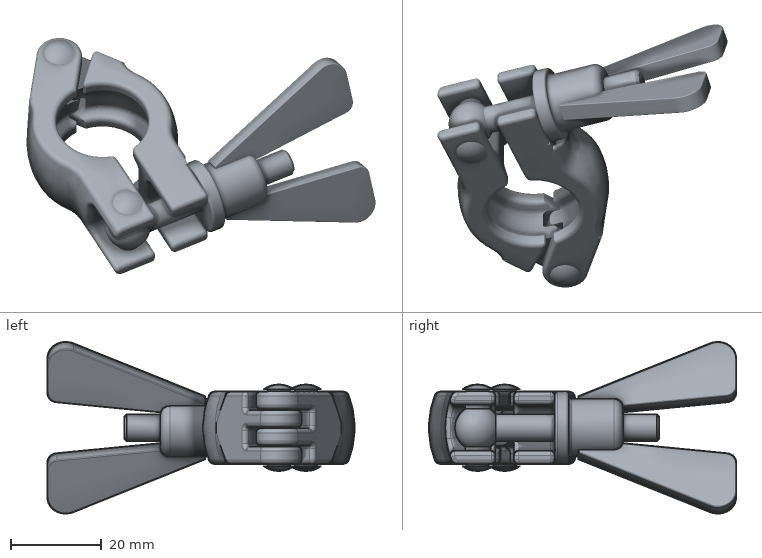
import cadquery as cq
import math


half_thickness = 8.0
thickness = 2 * half_thickness

crest_radius = 16.7
ear_crest_y = 13.1
ear_inner_y = 2.0
ear_start_x = 12.45
ear_end_x = 29.8
crown_radius = 19.6
crown_edge_round = 1.5
edge_round = 1.0
end_round = 0.95

lip_radius = 10.15
groove_radius = 13.0
groove_half_height = 4.05
lip_inner_z = 4.8
groove_round = 1.0

hinge_x = -20.65
knuckle_radius = 5.0
knuckle_count = 4
knuckle_gap = 0.3
knuckle_round = 0.95
slot_wall_distance = 7.0
slot_wall_angle = 48.7
slot_corner_round = 0.7
arm_inner_reach = 9.7
arm_inner_y = 6.8
arm_end_x = -12.3

rivet_neck_radius = 2.5
rivet_head_radius = 3.3
rivet_head_base_z = 8.5
rivet_head_top_z = 9.55

bolt_x = 23.8
bolt_pin_y = -5.95
bolt_radius = 3.0
bolt_end_y = 34.1
bolt_chamfer = 0.6
ball_radius = 5.0
ball_collar_radius = 2.8
fork_start_x = 17.3
fork_half_width = 5.1
fork_corner_round = 2.85

seat_y = 11.05
seat_radius = 8.95
seat_round = 0.7
nut_flange_radius = 8.05
nut_flange_top_y = 14.15
nut_flange_round = 0.55
hub_radius = 6.45
hub_top_y = 26.1
hub_overlap = 0.7
hub_round = 2.0
wing_angle = 25.0
wing_thickness = 3.7
wing_tip_y = 51.0
wing_base_y = 16.2
wing_outer_base = 6.85
wing_outer_slope = 23.9
wing_inner_slope = 6.1
wing_inner_tip = 7.2
wing_outer_round = 4.05
wing_inner_round = 2.4
wing_edge_round = 0.2

margin = 0.1
parallel_limit = 0.99

flat_sin = (crest_radius - knuckle_radius) / -hinge_x
flat_cos = math.sqrt(1 - flat_sin**2)
flat_tan = flat_sin / flat_cos
flat_start = (hinge_x - knuckle_radius * flat_sin, knuckle_radius * flat_cos)
flat_end = (-crest_radius * flat_sin, crest_radius * flat_cos)

bend_radius = (ear_start_x**2 + ear_crest_y**2 - crest_radius**2) / (2 * (crest_radius - ear_crest_y))
bend_center_y = ear_crest_y + bend_radius
bend_angle = math.atan2(ear_start_x, bend_center_y)

arc_gap = 1 - math.sqrt(0.5)


def edge_box(low, high, whole=False):
    """Selector for edges in a box: by their centres, or only those wholly inside."""
    return cq.selectors.BoxSelector(low, high, boundingbox=whole)


def crown_section():
    """Closed cross-section of the jaw wall: flat top and bottom, crowned outer side."""
    crown_center_y = ear_crest_y - crown_radius
    corner_z = half_thickness - crown_edge_round
    corner_reach = crown_radius - crown_edge_round
    corner_y = crown_center_y + math.sqrt(corner_reach**2 - corner_z**2)
    tilt = math.asin(corner_z / corner_reach)
    contact = (crown_center_y + crown_radius * math.cos(tilt), crown_radius * math.sin(tilt))
    middle = math.pi / 4 + tilt / 2
    corner_middle = (
        corner_y + crown_edge_round * math.cos(middle),
        corner_z + crown_edge_round * math.sin(middle),
    )
    inner_flat_y = ear_inner_y + edge_round
    inner_flat_z = half_thickness - edge_round
    inner_middle_y = ear_inner_y + edge_round * arc_gap
    inner_middle_z = half_thickness - edge_round * arc_gap
    return (
        cq.Workplane("YZ", origin=(ear_end_x, 0, 0))
        .moveTo(ear_inner_y, -inner_flat_z)
        .lineTo(ear_inner_y, inner_flat_z)
        .threePointArc((inner_middle_y, inner_middle_z), (inner_flat_y, half_thickness))
        .lineTo(corner_y, half_thickness)
        .threePointArc(corner_middle, contact)
        .threePointArc((ear_crest_y, 0), (contact[0], -contact[1]))
        .threePointArc((corner_middle[0], -corner_middle[1]), (corner_y, -half_thickness))
        .lineTo(inner_flat_y, -half_thickness)
        .threePointArc((inner_middle_y, -inner_middle_z), (ear_inner_y, -inner_flat_z))
        .close()
    )


def crowned_wall():
    """Ear and ring of a jaw, swept along the crest line."""
    half_bend = bend_angle / 2
    bend_middle = (
        ear_start_x - bend_radius * math.sin(half_bend),
        bend_center_y - bend_radius * math.cos(half_bend),
    )
    bend_end = (crest_radius * math.sin(bend_angle), crest_radius * math.cos(bend_angle))
    path = (
        cq.Workplane("XY")
        .moveTo(ear_end_x, ear_crest_y)
        .lineTo(ear_start_x, ear_crest_y)
        .threePointArc(bend_middle, bend_end)
        .threePointArc((0, crest_radius), (-bend_end[0], bend_end[1]))
        .threePointArc((-bend_middle[0], bend_middle[1]), (-ear_start_x, ear_crest_y))
    )
    wall = crown_section().sweep(path)
    wall = wall.faces(">X").edges().fillet(end_round)
    clear_y = 2 * crest_radius
    beyond_flat = (
        cq.Workplane("XY", origin=(0, 0, -thickness))
        .polyline([flat_start, flat_end, (flat_end[0], clear_y), (flat_start[0], clear_y)])
        .close()
        .extrude(2 * thickness)
    )
    return wall.cut(beyond_flat)


def fork_slot():
    """Slot for the swing bolt, open at the end of the ear."""
    length = 2 * (ear_end_x - fork_start_x)
    return (
        cq.Workplane("XY")
        .box(length, 2 * crest_radius, 2 * fork_half_width, centered=(False, False, True))
        .edges("|Y and <X")
        .fillet(fork_corner_round)
        .translate((fork_start_x, 0, 0))
    )


def round_fork_rim(ear, low_y, high_y):
    """Ear with the fork slot's edges rounded on one side, but not on the end face."""
    rim = edge_box(
        (fork_start_x - margin, low_y, -fork_half_width - margin),
        (ear_end_x - end_round, high_y, fork_half_width + margin),
    )
    return ear.edges(rim).fillet(edge_round)


def hinge_slot(low_z, high_z):
    """Slot that clears a knuckle of the other jaw, from the arm's wall out past the hinge."""
    length = 4 * knuckle_radius
    slot = (
        cq.Workplane("XY")
        .box(length, 2 * length, high_z - low_z, centered=(False, True, False))
        .translate((slot_wall_distance - length, 0, low_z))
    )
    corners = slot.edges("|Y and >X")
    if high_z > half_thickness:
        corners = corners.edges("<Z")
    slot = corners.fillet(slot_corner_round)
    return slot.rotate((0, 0, 0), (0, 0, 1), slot_wall_angle).translate((hinge_x, 0, 0))


def hinge_arm():
    """Arm from the hinge to the ring, slotted into knuckles, with all its outer edges rounded."""
    inner_start = (hinge_x + knuckle_radius * flat_sin, -knuckle_radius * flat_cos)
    inner_end_x = inner_start[0] + arm_inner_reach
    inner_end = (inner_end_x, inner_start[1] + arm_inner_reach * flat_tan)
    outer_end = (arm_end_x, flat_start[1] + (arm_end_x - flat_start[0]) * flat_tan)
    knuckle_far_point = (hinge_x - knuckle_radius * flat_cos, -knuckle_radius * flat_sin)
    arm = (
        cq.Workplane("XY", origin=(0, 0, -half_thickness))
        .moveTo(*inner_start)
        .lineTo(*inner_end)
        .lineTo(inner_end_x, arm_inner_y)
        .lineTo(arm_end_x, arm_inner_y)
        .lineTo(*outer_end)
        .lineTo(*flat_start)
        .threePointArc(knuckle_far_point, inner_start)
        .close()
        .extrude(thickness)
    )
    pitch = thickness / knuckle_count
    for slot_low_z in (-pitch, pitch):
        arm = arm.cut(hinge_slot(slot_low_z - knuckle_gap / 2, slot_low_z + pitch + knuckle_gap / 2))

    wall_turn = math.radians(slot_wall_angle)
    wall_direction = cq.Vector(-math.sin(wall_turn), math.cos(wall_turn), 0)

    def is_outer_edge(edge):
        middle = edge.positionAt(0.5)
        tangent = edge.tangentAt(0.5)
        on_ring_side = (
            abs(middle.x - inner_end_x) < margin
            or abs(middle.x - arm_end_x) < margin
            or abs(middle.y - arm_inner_y) < margin
        )
        seam_distance = min(math.dist((middle.x, middle.y), seam) for seam in (flat_start, inner_start))
        at_seam = abs(tangent.z) > parallel_limit and seam_distance < margin
        along_wall = abs(tangent.dot(wall_direction)) > parallel_limit
        in_slot = along_wall and abs(middle.z) < half_thickness - margin
        return not (on_ring_side or at_seam or in_slot)

    return arm.edges().filter(is_outer_edge).fillet(knuckle_round)


def bore():
    """Bore with rounded mouths and the V-shaped groove."""
    mouth_z = half_thickness - edge_round
    gap = edge_round * arc_gap
    mouth = (
        cq.Workplane("XZ")
        .moveTo(0, -half_thickness)
        .lineTo(lip_radius + edge_round, -half_thickness)
        .threePointArc((lip_radius + gap, -half_thickness + gap), (lip_radius, -mouth_z))
        .lineTo(lip_radius, mouth_z)
        .threePointArc((lip_radius + gap, half_thickness - gap), (lip_radius + edge_round, half_thickness))
        .lineTo(0, half_thickness)
        .close()
        .revolve(360, (0, 0), (0, 1))
    )
    groove = (
        cq.Workplane("XZ")
        .moveTo(0, -lip_inner_z)
        .lineTo(lip_radius, -lip_inner_z)
        .lineTo(groove_radius, -groove_half_height)
        .lineTo(groove_radius, groove_half_height)
        .lineTo(lip_radius, lip_inner_z)
        .lineTo(0, lip_inner_z)
        .close()
        .revolve(360, (0, 0), (0, 1))
    )
    cutter = mouth.union(groove)
    reach = groove_radius + margin
    reach_z = lip_inner_z + margin
    groove_edges = edge_box((-reach, -reach, -reach_z), (reach, reach, reach_z), True)
    return cutter.edges(groove_edges).edges("%CIRCLE").fillet(groove_round)


def cylinder_y(radius, start_y, end_y):
    """Cylinder around the bolt axis."""
    return (
        cq.Workplane("XZ", origin=(bolt_x, start_y, 0))
        .circle(radius)
        .extrude(start_y - end_y)
    )


def with_seat(wall):
    """Wall with its crown cut down to a flat seat for the nut, out to the ear's end."""
    block_start = bolt_x - math.sqrt(seat_radius**2 - half_thickness**2)
    ear_end = cq.Workplane("XY").box(
        2 * seat_radius, 2 * crest_radius, 2 * thickness, centered=(False, False, True)
    )
    wall = wall.cut(cylinder_y(seat_radius, seat_y, 2 * crest_radius))
    wall = wall.cut(ear_end.translate((block_start, 0, 0)))
    seat_rim = edge_box(
        (bolt_x - seat_radius - margin, seat_y + margin, -half_thickness),
        (block_start, crest_radius, half_thickness),
    )
    wall = wall.edges(seat_rim).fillet(seat_round)
    block = cq.Workplane("XY").box(
        ear_end_x - block_start, seat_y - ear_inner_y, thickness, centered=(False, False, True)
    )
    block = block.edges("|X").fillet(edge_round).faces(">X").edges().fillet(end_round)
    return wall.union(block.translate((block_start, ear_inner_y, 0)))


def round_bore_corner(body):
    """Jaw with the upright corner rounded where the ear's inner face meets lip and groove."""
    bore_meeting_y = ear_inner_y + 3 * margin
    corner = edge_box(
        (lip_radius - edge_round, ear_inner_y - margin, -half_thickness + edge_round),
        (groove_radius, bore_meeting_y, half_thickness - edge_round),
    )

    def is_bend_seam(edge):
        return edge.geomType() == "LINE" and abs(edge.Center().x - ear_start_x) < margin

    corner_edges = body.edges(corner).filter(lambda edge: not is_bend_seam(edge))
    return corner_edges.fillet(edge_round)


def jaw(has_seat):
    """Jaw on the +Y side, with or without the seat for the wing nut."""
    wall = crowned_wall()
    if has_seat:
        wall = with_seat(wall).cut(fork_slot())
        wall = round_fork_rim(wall, ear_inner_y - margin, ear_inner_y + margin)
    else:
        wall = wall.cut(fork_slot())
        wall = round_fork_rim(wall, ear_inner_y + margin, crest_radius)
    return round_bore_corner(wall.union(hinge_arm()).cut(bore()))


def rivet(x, y):
    """Pin along Z with a domed head at both ends."""
    dome_rise = rivet_head_top_z - rivet_head_base_z
    dome_radius = (rivet_head_radius**2 + dome_rise**2) / (2 * dome_rise)
    half_angle = math.asin(rivet_head_radius / dome_radius) / 2
    dome_middle = (
        dome_radius * math.sin(half_angle),
        rivet_head_top_z - dome_radius * (1 - math.cos(half_angle)),
    )
    half = (
        cq.Workplane("XZ")
        .lineTo(rivet_neck_radius, 0)
        .lineTo(rivet_neck_radius, rivet_head_base_z)
        .lineTo(rivet_head_radius, rivet_head_base_z)
        .threePointArc(dome_middle, (0, rivet_head_top_z))
        .close()
        .revolve(360, (0, 0), (0, 1))
    )
    return half.union(half.mirror("XY")).translate((x, y, 0))


def swing_bolt():
    """Bolt with a ball end on the lower rivet."""
    ball = cq.Workplane("XY").sphere(ball_radius).translate((bolt_x, bolt_pin_y, 0))
    collar = (
        cq.Workplane("XY", origin=(bolt_x, bolt_pin_y, -fork_half_width))
        .circle(ball_collar_radius)
        .extrude(2 * fork_half_width)
    )
    shank = cylinder_y(bolt_radius, bolt_pin_y, bolt_end_y).faces(">Y").chamfer(bolt_chamfer)
    return ball.union(collar).union(shank)


def wing():
    """Wing lying in the X-Y plane, leaning from the Y axis towards +X."""
    outer_tan = math.tan(math.radians(wing_outer_slope))
    inner_tan = math.tan(math.radians(wing_inner_slope))
    inner_base = wing_inner_tip - (wing_tip_y - wing_base_y) * inner_tan
    outer_tip = wing_outer_base + (wing_tip_y - wing_base_y) * outer_tan
    blade = (
        cq.Workplane("XY", origin=(0, 0, -wing_thickness / 2))
        .polyline(
            [
                (inner_base, wing_base_y),
                (wing_outer_base, wing_base_y),
                (outer_tip, wing_tip_y),
                (wing_inner_tip, wing_tip_y),
            ]
        )
        .close()
        .extrude(wing_thickness)
    )
    blade = blade.edges("|Z and >X").fillet(wing_outer_round)
    blade = blade.edges("|Z and >Y").edges("<X").fillet(wing_inner_round)
    return blade.faces("|Z").edges().fillet(wing_edge_round)


def wing_nut():
    """Flanged nut with two opposite wings."""
    flange = cylinder_y(nut_flange_radius, seat_y, nut_flange_top_y).edges().fillet(nut_flange_round)
    hub = cylinder_y(hub_radius, nut_flange_top_y - hub_overlap, hub_top_y)
    hub = hub.faces(">Y").edges().fillet(hub_round)
    nut = flange.union(hub)
    reach = hub_radius + margin
    hub_foot = edge_box(
        (bolt_x - reach, nut_flange_top_y - margin, -reach),
        (bolt_x + reach, nut_flange_top_y + margin, reach),
        True,
    )
    nut = nut.edges(hub_foot).fillet(nut_flange_round)
    for turn in (-90 - wing_angle, 90 - wing_angle):
        nut = nut.union(wing().rotate((0, 0, 0), (0, 1, 0), turn).translate((bolt_x, 0, 0)))
    return nut


upper_jaw = jaw(has_seat=True)
lower_jaw = jaw(has_seat=False).rotate((0, 0, 0), (1, 0, 0), 180)
result = (
    upper_jaw.union(lower_jaw)
    .union(rivet(hinge_x, 0))
    .union(rivet(bolt_x, bolt_pin_y))
    .union(swing_bolt())
    .union(wing_nut())
)